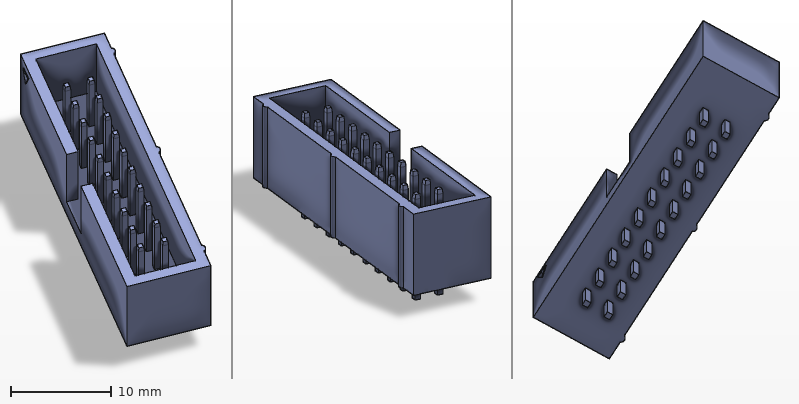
import cadquery as cq


body_length = 33.05
body_width = 8.83
body_height = 8.85
end_wall = 1.12
side_wall = 1.22
cavity_depth = 7.0
notch_width = 4.5

pins_per_row = 10
first_to_last_pin = 22.85
pin_pitch = first_to_last_pin / (pins_per_row - 1)
pin_side = 0.63
pin_tail = 2.98
pin_below_rim = 0.35
tip_height = 0.5
tip_inset = 0.05
tip_side = pin_side - 2 * tip_inset

rib_spacing = 14.02
rib_width = 0.8
rib_height = 0.25

mark_size = 1.52
mark_height = 0.1
mark_from_end = 1.02
mark_from_top = 1.0

front_y = -body_width / 2
back_y = body_width / 2
floor_z = body_height - cavity_depth


def make_shroud():
    """Box with an open cavity and a keying notch, both down to the same floor."""
    box = cq.Workplane("XY").box(body_length, body_width, body_height, centered=(True, True, False))
    cavity = (
        cq.Workplane("XY", origin=(0, 0, floor_z))
        .rect(body_length - 2 * end_wall, body_width - 2 * side_wall)
        .extrude(cavity_depth)
    )
    notch = (
        cq.Workplane("XY", origin=(0, front_y / 2, floor_z))
        .rect(notch_width, body_width / 2)
        .extrude(cavity_depth)
    )
    return box.cut(cavity).cut(notch)


def make_pins():
    """Both rows of pins, each a square post with a tapered tip."""
    tip_top = body_height - pin_below_rim
    tip_base = tip_top - tip_height
    posts = (
        cq.Workplane("XY", origin=(0, 0, -pin_tail))
        .rarray(pin_pitch, pin_pitch, pins_per_row, 2)
        .rect(pin_side, pin_side)
        .extrude(tip_base + pin_tail)
    )
    tip = (
        cq.Workplane("XY")
        .rect(pin_side, pin_side)
        .workplane(offset=tip_height)
        .rect(tip_side, tip_side)
        .loft(ruled=True)
        .val()
    )
    tips = (
        cq.Workplane("XY", origin=(0, 0, tip_base))
        .rarray(pin_pitch, pin_pitch, pins_per_row, 2)
        .eachpoint(lambda place: tip.moved(place))
    )
    return posts.union(tips)


def make_rib(x):
    """Full-height rib with a circular-arc section on the back wall."""
    return (
        cq.Workplane("XY")
        .moveTo(x - rib_width / 2, back_y)
        .threePointArc((x, back_y + rib_height), (x + rib_width / 2, back_y))
        .close()
        .extrude(body_height)
    )


def make_mark():
    """Triangle pointing down, raised from the front wall."""
    left = -body_length / 2 + mark_from_end
    top = body_height - mark_from_top
    corners = [(left, top), (left + mark_size, top), (left + mark_size / 2, top - mark_size)]
    return cq.Workplane("XZ", origin=(0, front_y, 0)).polyline(corners).close().extrude(mark_height)


result = make_shroud().union(make_pins()).union(make_mark())
for rib_x in (-rib_spacing, 0, rib_spacing):
    result = result.union(make_rib(rib_x))